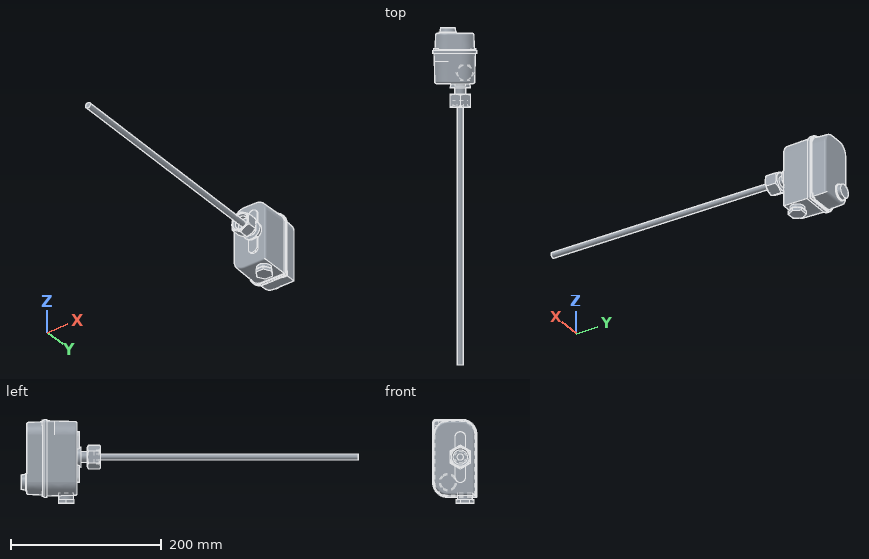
import cadquery as cq
import math


overall_width = 59.0
overall_length = 448.0
overall_height = 111.74
quarter_turn = 90.0

wall_left = -35.0
wall_right = 20.3
wall_top = 48.3
wall_bottom = -51.9
large_radius = 18.5
small_radius = 3.0
housing_draft = 1.5
cover_draft = 2.5

flange_front = 40.3
flange_back = 44.2
corner_step = 29.8
cover_back = 67.2
edge_fillet = 2.7

flange_overhang = (overall_width - (wall_right - wall_left)) / 2
rim_thickness = 1.5
rim_overhang = 0.6
ear_thickness = 2.8
ear_size = 7.0
cover_inset = 1.2

knob_x = wall_left + large_radius
knob_z = wall_bottom + large_radius
knob_collar_diameter = 23.0
knob_collar_height = 1.6
knob_base_diameter = 21.5
knob_tip_diameter = 19.5
knob_tip = 74.5

pad_length = 67.4
pad_width = 14.0
pad_height = 2.8

seat_back_diameter = 25.4
seat_front_diameter = 27.2
seat_height = 5.3
neck_diameter = 14.8
neck_end = -13.3
nut_width = 27.5
nut_end = -31.2
nut_chamfer_angle = 30.0
nut_back_face_diameter = 25.5
nut_mouth_diameter = 24.0
nut_bore_diameter = 19.0
nut_bore_depth = 9.0
tube_diameter = 8.4

gland_x = 6.2
gland_y = 14.6
gland_diameter = 20.0
gland_width = 20.9
gland_hex_top = -56.6
gland_insertion = 4.0


def outline(y, upper_left_radius):
    """Closed wall outline in the plane at y.

    The upper right and lower left corners are large rounds, the lower right corner is sharp.
    """
    left_tangent = wall_left + large_radius
    right_tangent = wall_right - large_radius
    corner_gap = 1 - math.sqrt(0.5)
    large_gap = large_radius * corner_gap
    upper_left_gap = upper_left_radius * corner_gap
    return (
        cq.Workplane("XZ", origin=(0, y, 0))
        .moveTo(wall_left + upper_left_radius, wall_top)
        .lineTo(right_tangent, wall_top)
        .threePointArc(
            (wall_right - large_gap, wall_top - large_gap),
            (wall_right, wall_top - large_radius),
        )
        .lineTo(wall_right, wall_bottom)
        .lineTo(left_tangent, wall_bottom)
        .threePointArc(
            (wall_left + large_gap, wall_bottom + large_gap),
            (wall_left, wall_bottom + large_radius),
        )
        .lineTo(wall_left, wall_top - upper_left_radius)
        .threePointArc(
            (wall_left + upper_left_gap, wall_top - upper_left_gap),
            (wall_left + upper_left_radius, wall_top),
        )
        .close()
    )


def disc(y, diameter, length):
    """Cylinder on the probe axis that runs from y toward the probe tip."""
    return cq.Workplane("XZ", origin=(0, y, 0)).circle(diameter / 2).extrude(length)


def make_seat():
    """Slightly conical foot of the probe, resting on the front face of the housing."""
    return (
        cq.Workplane("XY")
        .lineTo(seat_back_diameter / 2, 0)
        .lineTo(seat_front_diameter / 2, -seat_height)
        .lineTo(0, -seat_height)
        .close()
        .revolve(360, (0, 0, 0), (0, 1, 0))
    )


def make_housing():
    """Drafted box with a back flange, a front pad and a hole for the gland shank."""
    wall = outline(flange_front, large_radius).extrude(flange_front, taper=housing_draft)
    wall = wall.faces("<Y").edges().fillet(edge_fillet)
    corner_depth = flange_front - corner_step
    square_corner = outline(flange_front, small_radius).extrude(corner_depth, taper=housing_draft)
    flange = outline(flange_back, small_radius).offset2D(flange_overhang)
    flange = flange.extrude(flange_back - flange_front)
    pad = cq.Workplane("XZ").slot2D(pad_length, pad_width, quarter_turn).extrude(pad_height)
    gland_hole = (
        cq.Workplane("XY", origin=(gland_x, gland_y, wall_bottom - flange_overhang))
        .circle(gland_diameter / 2)
        .extrude(flange_overhang + gland_insertion)
    )
    return wall.union(square_corner).union(flange).union(pad.cut(make_seat())).cut(gland_hole)


def make_rim(thickness):
    """Plate against the back of the flange, slightly larger than the housing wall."""
    return outline(flange_back + thickness, small_radius).offset2D(rim_overhang).extrude(thickness)


def make_ear_corners():
    """Blocks over the upper left and lower right corners of the rim, where it is thicker."""
    reach = 2 * ear_size
    upper_left = (wall_left - rim_overhang, wall_top + rim_overhang)
    lower_right = (wall_right + rim_overhang, wall_bottom - rim_overhang)
    return (
        cq.Workplane("XZ", origin=(0, flange_back + ear_thickness, 0))
        .pushPoints([upper_left, lower_right])
        .rect(reach, reach)
        .extrude(ear_thickness)
    )


def make_cover():
    """Drafted cap behind the flange, drawn forward and mirrored back, with rim and knob."""
    depth = cover_back - flange_back
    shell = outline(flange_back, large_radius).offset2D(-cover_inset).extrude(depth, taper=cover_draft)
    shell = shell.faces("<Y").edges().fillet(edge_fillet)
    shell = shell.mirror("XZ", (0, flange_back, 0))
    rim = make_rim(rim_thickness)
    ears = make_rim(ear_thickness).intersect(make_ear_corners())
    collar_back = cover_back + knob_collar_height
    knob = (
        cq.Workplane("XY")
        .lineTo(knob_collar_diameter / 2, 0)
        .lineTo(knob_collar_diameter / 2, collar_back - flange_back)
        .lineTo(knob_base_diameter / 2, collar_back - flange_back)
        .lineTo(knob_tip_diameter / 2, knob_tip - flange_back)
        .lineTo(0, knob_tip - flange_back)
        .close()
        .revolve(360, (0, 0, 0), (0, 1, 0))
        .translate((knob_x, flange_back, knob_z))
    )
    return shell.union(rim).union(ears).union(knob)


def make_nut():
    """Hexagon with corners at top and bottom, chamfered at both ends, with a countersunk bore."""
    corner_radius = nut_width / math.sqrt(3)
    chamfer_slope = math.tan(math.radians(nut_chamfer_angle))
    back_chamfer = (corner_radius - nut_back_face_diameter / 2) * chamfer_slope
    front_chamfer = (corner_radius - nut_width / 2) * chamfer_slope
    countersink = (nut_mouth_diameter - nut_bore_diameter) / 2
    hexagon = (
        cq.Workplane("XZ", origin=(0, neck_end, 0))
        .polygon(6, 2 * corner_radius)
        .extrude(neck_end - nut_end)
        .rotate((0, 0, 0), (0, 1, 0), quarter_turn)
    )
    turned = (
        cq.Workplane("XY")
        .moveTo(0, neck_end)
        .lineTo(nut_back_face_diameter / 2, neck_end)
        .lineTo(corner_radius, neck_end - back_chamfer)
        .lineTo(corner_radius, nut_end + front_chamfer)
        .lineTo(nut_width / 2, nut_end)
        .lineTo(nut_mouth_diameter / 2, nut_end)
        .lineTo(nut_bore_diameter / 2, nut_end + countersink)
        .lineTo(nut_bore_diameter / 2, nut_end + nut_bore_depth)
        .lineTo(0, nut_end + nut_bore_depth)
        .close()
        .revolve(360, (0, 0, 0), (0, 1, 0))
    )
    return hexagon.intersect(turned)


def make_probe():
    """Seat, neck, nut and long tube on the probe axis."""
    neck = disc(0, neck_diameter, -neck_end)
    tube = disc(0, tube_diameter, overall_length - knob_tip)
    return make_seat().union(neck).union(make_nut()).union(tube)


def make_gland():
    """Hexagon head with corners along X, on a round shank set into the bottom of the housing."""
    bottom = wall_top + flange_overhang - overall_height
    head = (
        cq.Workplane("XY", origin=(gland_x, gland_y, bottom))
        .polygon(6, 2 * gland_width / math.sqrt(3))
        .extrude(gland_hex_top - bottom)
    )
    shank = (
        cq.Workplane("XY", origin=(gland_x, gland_y, gland_hex_top))
        .circle(gland_diameter / 2)
        .extrude(wall_bottom + gland_insertion - gland_hex_top)
    )
    return head.union(shank)


housing = make_housing()
cover = make_cover()
probe = make_probe()
gland = make_gland()

result = cq.Compound.makeCompound(
    [housing.solids().val(), cover.solids().val(), probe.solids().val(), gland.solids().val()]
)